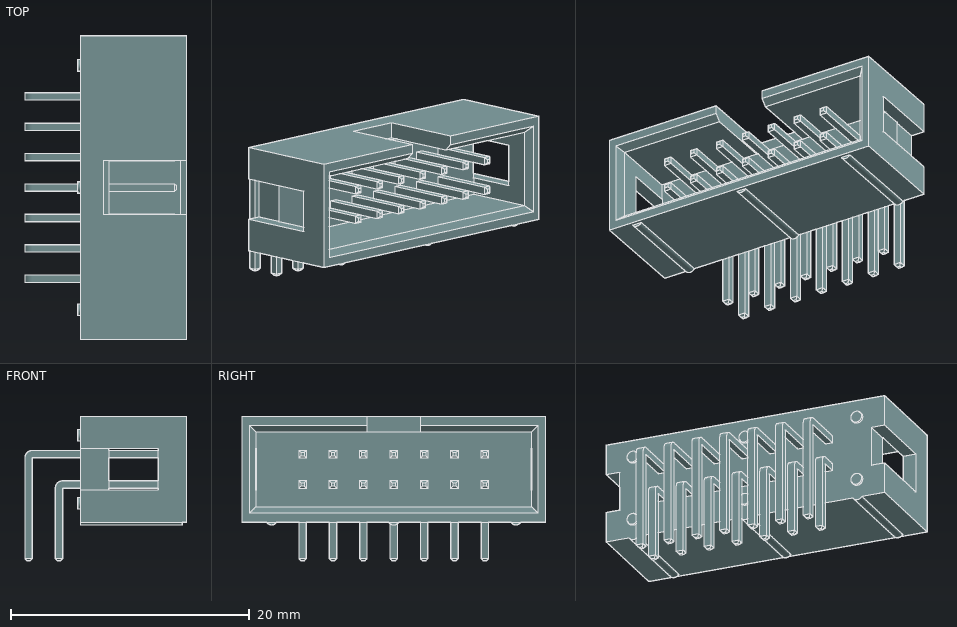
import cadquery as cq


LENGTH = 25.45
DEPTH = 8.9
HEIGHT = 8.88
OVERALL_HEIGHT = 12.1
MID_Z = HEIGHT / 2

BACK_WALL = 2.4
END_WALL = 1.17
SIDE_WALL = 1.3
MOUTH_CHAMFER = 0.53

KEY_WIDTH = 4.5
KEY_BACK = 1.93

WINDOW_LENGTH = 6.5
WINDOW_HEIGHT = 3.45
RECESS_DEPTH = 1.22

STANDOFF_DIAMETER = 1.0
STANDOFF_HEIGHT = 0.23
STANDOFF_SPACING_Y = 10.23
STANDOFF_SPACING_Z = 5.7
RIB_DIAMETER = STANDOFF_DIAMETER
RIB_HEIGHT = STANDOFF_HEIGHT
RIB_LENGTH = 8.55

PITCH = 2.55
PINS_PER_ROW = 7
PIN_SIZE = 0.64
PIN_REACH = 4.65
OUTER_LEG_X = PIN_SIZE / 2 - PIN_REACH
LEG_BOTTOM = HEIGHT - OVERALL_HEIGHT
PIN_FRONT = 8.06
TIP_LENGTH = 0.2
TIP_INSET = 0.18


def block(x_min, x_max, width, z_min, z_max, y_center=0.0):
    """Axis-aligned box, centred on y_center."""
    size = (x_max - x_min, width, z_max - z_min)
    corner = (x_min, y_center - width / 2, z_min)
    return cq.Workplane("XY").box(*size, centered=False).translate(corner)


def make_cavity():
    """Pocket open to +X with a 45 degree lead-in around its mouth."""
    width = LENGTH - 2 * END_WALL
    height = HEIGHT - 2 * SIDE_WALL
    pocket = block(BACK_WALL, DEPTH, width, SIDE_WALL, HEIGHT - SIDE_WALL)
    lead_in = (
        cq.Workplane("YZ", origin=(DEPTH - MOUTH_CHAMFER, 0, MID_Z))
        .rect(width, height)
        .workplane(offset=MOUTH_CHAMFER)
        .rect(width + 2 * MOUTH_CHAMFER, height + 2 * MOUTH_CHAMFER)
        .loft(ruled=True)
    )
    return pocket.union(lead_in)


def make_housing():
    """Shroud with its cavity, key slot and end windows."""
    housing = block(0, DEPTH, LENGTH, 0, HEIGHT)
    housing = housing.cut(make_cavity())
    housing = housing.cut(block(KEY_BACK, DEPTH, KEY_WIDTH, HEIGHT - SIDE_WALL, HEIGHT))
    for side in (-1, 1):
        window = block(
            0,
            WINDOW_LENGTH,
            RECESS_DEPTH,
            MID_Z - WINDOW_HEIGHT / 2,
            MID_Z + WINDOW_HEIGHT / 2,
            side * (LENGTH - RECESS_DEPTH) / 2,
        )
        housing = housing.cut(window)
    return housing


def make_standoffs():
    """Six buttons on the mounting face: two rows of three."""
    return (
        cq.Workplane("YZ", origin=(0, 0, MID_Z))
        .rarray(STANDOFF_SPACING_Y, STANDOFF_SPACING_Z, 3, 2)
        .circle(STANDOFF_DIAMETER / 2)
        .extrude(-STANDOFF_HEIGHT)
    )


def make_ribs():
    """Three part-round ribs along X, standing proud of the underside."""
    axis_z = RIB_DIAMETER / 2 - RIB_HEIGHT
    return (
        cq.Workplane("YZ", origin=(0, 0, axis_z))
        .rarray(STANDOFF_SPACING_Y, 0.25, 3, 1)
        .circle(RIB_DIAMETER / 2)
        .extrude(RIB_LENGTH)
    )


def make_tip(plane):
    """Tapered pin end growing along the plane's normal."""
    end_size = PIN_SIZE - 2 * TIP_INSET
    return (
        cq.Workplane(plane)
        .rect(PIN_SIZE, PIN_SIZE)
        .workplane(offset=TIP_LENGTH)
        .rect(end_size, end_size)
        .loft(ruled=True)
    )


def make_pin(leg_x, row_z):
    """Square pin at Y = 0, bent down through 90 degrees with a rounded outer corner."""
    half = PIN_SIZE / 2
    contact_end = PIN_FRONT - TIP_LENGTH
    leg_end = LEG_BOTTOM + TIP_LENGTH
    outer_x = leg_x - half
    inner_x = leg_x + half
    top_z = row_z + half
    under_z = row_z - half
    bent_bar = (
        cq.Workplane("XZ")
        .moveTo(contact_end, under_z)
        .lineTo(contact_end, top_z)
        .lineTo(inner_x, top_z)
        .radiusArc((outer_x, under_z), -PIN_SIZE)
        .lineTo(outer_x, leg_end)
        .lineTo(inner_x, leg_end)
        .lineTo(inner_x, under_z)
        .close()
        .extrude(half, both=True)
    )
    contact_tip = make_tip(cq.Plane((contact_end, 0, row_z), (0, 1, 0), (1, 0, 0)))
    leg_tip = make_tip(cq.Plane((leg_x, 0, leg_end), (1, 0, 0), (0, 0, -1)))
    return bent_bar.union(contact_tip).union(leg_tip)


result = make_housing().union(make_standoffs()).union(make_ribs())
upper_pin = make_pin(OUTER_LEG_X, MID_Z + PITCH / 2)
lower_pin = make_pin(OUTER_LEG_X + PITCH, MID_Z - PITCH / 2)
for index in range(PINS_PER_ROW):
    pin_y = (index - (PINS_PER_ROW - 1) / 2) * PITCH
    for pin in (upper_pin, lower_pin):
        result = result.union(pin.translate((0, pin_y, 0)))